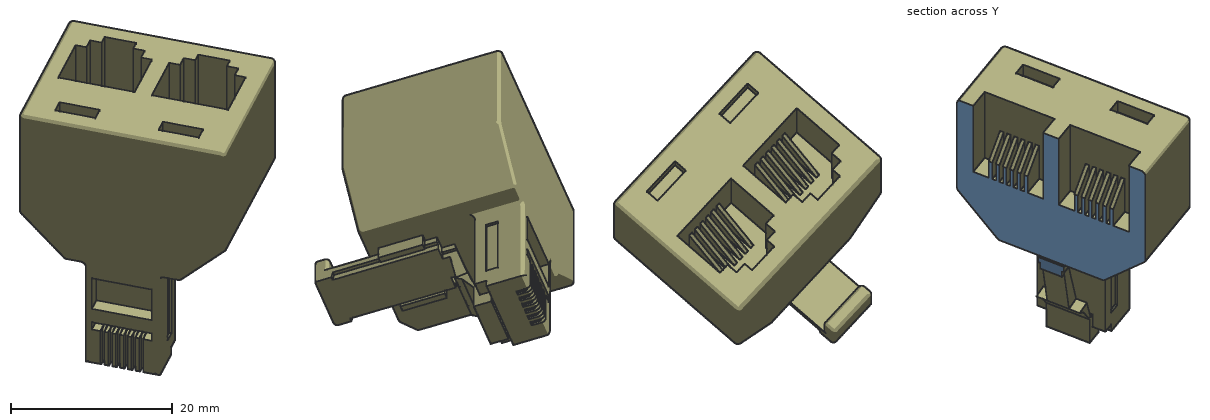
import cadquery as cq


HEIGHT = 37.25
WIDTH = 26.78
DEPTH = 21.05
BOTTOM_Z = 16.1
BEVEL = 5.92
EDGE_RADIUS = 0.65

PLUG_WIDTH = 9.7
PLUG_DEPTH = 6.55
PLUG_BOTTOM_Z = 0.93
NECK_RADIUS = 0.55
FOOT_NOTCH_TOP_Z = 2.05
FOOT_NOTCH_Y = 5.03

WINDOW_WIDTH = 7.75
WINDOW_BOTTOM_Z = 9.5
WINDOW_HEIGHT = 4.7
POCKET_DEPTH = 1.85
GROOVE_BOTTOM_Z = 6.33
GROOVE_HEIGHT = 1.1
CONTACT_COUNT = 6
CONTACT_PITCH = 1.0
SLOT_WIDTH = 0.52
BLADE_WIDTH = 0.37
BLADE_FRONT_Y = 0.55
BLADE_BOTTOM_Z = 1.23
BLADE_RADIUS = 0.37

SIDE_RECESS_DEPTH = 0.3
SIDE_RECESS_FRONT_Y = 3.55
SIDE_RECESS_WIDTH = 1.55
SIDE_RECESS_BOTTOM_Z = 4.15
SIDE_RECESS_HEIGHT = 9.55

SOCKET_X = 6.07
SOCKET_DEPTH = 11.17
SOCKET_FRONT_Y = 8.8
SOCKET_STEPS = [(9.9, 15.85), (7.08, 17.35), (4.1, 18.6)]
SPRING_BACK_Y = 14.5
SPRING_RISE = 5.6

TOP_SLOT_X = 6.7
TOP_SLOT_WIDTH = 5.2
TOP_SLOT_FRONT_Y = 2.15
TOP_SLOT_LENGTH = 1.8
TOP_SLOT_DEPTH = 1.85

POST_THICKNESS = 0.75
POST_FRONT_Y = 13.6
POST_LENGTH = 5.85
POST_BOTTOM_Z = 14.08

ARM_WIDTH = 7.22
ARM_TOP_Z = 15.85
ARM_STEP_Z = 14.9
ARM_BOTTOM_Z = 13.95
ARM_FRONT_Y = 12.0
RIB_WIDTH = 6.33
RIB_BACK_TOP_Y = 25.7
RIB_BACK_BOTTOM_Y = 25.9
LATCH_BACK_Y = 28.2
TIP_THICKNESS = 1.97
TIP_TOP_Z = 18.47
TIP_RADIUS = 0.55
NOSE_WIDTH = 3.72
LEG_WIDTH = 3.1
CATCH_WIDTH = 6.15
FOOT_BACK_Y = 7.37
FOOT_TOP_Z = 4.17
HINGE_DROP = 0.2

LEG_TOP_FRONT = (10.3, ARM_TOP_Z)
NOSE_BOTTOM_FRONT = (10.1, ARM_STEP_Z)
LEG_TOP_BACK = (11.05, ARM_BOTTOM_Z)
SHOULDER_FRONT = (8.08, 7.4)
SHOULDER_BACK = (9.85, 7.1)
CATCH_BEND = (8.9, 6.4)
FOOT_TOP_FRONT = (7.15, FOOT_TOP_Z)

SELECT_MARGIN = 0.05

contact_offsets = [(i - (CONTACT_COUNT - 1) / 2) * CONTACT_PITCH for i in range(CONTACT_COUNT)]


def box(width, y_range, z_range, x_center=0.0):
    """Box centred on x_center, between two Y values and two Z values."""
    return (
        cq.Workplane()
        .box(width, y_range[1] - y_range[0], z_range[1] - z_range[0], centered=(True, False, False))
        .translate((x_center, y_range[0], z_range[0]))
    )


def side_plate(points, width, x_center=0.0):
    """Outline of (Y, Z) points made into a plate of the given width along X."""
    return (
        cq.Workplane("YZ").polyline(points).close().extrude(width / 2, both=True).translate((x_center, 0, 0))
    )


def edges_within(width, depth, bottom_z, top_z):
    """Selector for the edges centred inside a box standing on the front face plane."""
    return cq.selectors.BoxSelector(
        (-width / 2 - SELECT_MARGIN, -SELECT_MARGIN, bottom_z - SELECT_MARGIN),
        (width / 2 + SELECT_MARGIN, depth + SELECT_MARGIN, top_z + SELECT_MARGIN),
    )


def make_shell():
    """Bevelled block with the plug below it, its outer edges rounded."""
    half = WIDTH / 2
    outline = [
        (-half, HEIGHT),
        (half, HEIGHT),
        (half, BOTTOM_Z + BEVEL),
        (half - BEVEL, BOTTOM_Z),
        (-half + BEVEL, BOTTOM_Z),
        (-half, BOTTOM_Z + BEVEL),
    ]
    block = cq.Workplane("XZ").polyline(outline).close().extrude(-DEPTH)
    bevel_edges = edges_within(WIDTH, DEPTH, BOTTOM_Z, BOTTOM_Z + BEVEL)
    block = block.edges("|Y").edges(bevel_edges).fillet(EDGE_RADIUS)
    plug = box(PLUG_WIDTH, (0, PLUG_DEPTH), (PLUG_BOTTOM_Z, BOTTOM_Z))
    shell = block.union(plug)
    neck_corner = edges_within(PLUG_WIDTH, PLUG_DEPTH, BOTTOM_Z, BOTTOM_Z)
    shell = shell.edges(neck_corner).fillet(NECK_RADIUS)
    front = shell.faces("<Y").edges()
    back = shell.faces(">Y").edges()
    top = shell.faces(">Z").edges("|Y")
    return shell.newObject(front.vals() + back.vals() + top.vals()).fillet(EDGE_RADIUS)


def make_socket(x_center):
    """Stepped socket cavity, leaving six sloping contact springs on its front wall."""
    floor_z = HEIGHT - SOCKET_DEPTH
    cavity = cq.Workplane()
    for width, back_y in SOCKET_STEPS:
        cavity = cavity.union(box(width, (SOCKET_FRONT_Y, back_y), (floor_z, HEIGHT), x_center))
    spring_outline = [
        (SOCKET_FRONT_Y, floor_z),
        (SPRING_BACK_Y, floor_z),
        (SOCKET_FRONT_Y, floor_z + SPRING_RISE),
    ]
    for offset in contact_offsets:
        cavity = cavity.cut(side_plate(spring_outline, SLOT_WIDTH, x_center + offset))
    return cavity


def make_plug_cavities():
    """Window, cross groove, contact slots, side recesses and the notch for the latch foot."""
    window = box(WINDOW_WIDTH, (0, POCKET_DEPTH), (WINDOW_BOTTOM_Z, WINDOW_BOTTOM_Z + WINDOW_HEIGHT))
    groove = box(WINDOW_WIDTH, (0, POCKET_DEPTH), (GROOVE_BOTTOM_Z, GROOVE_BOTTOM_Z + GROOVE_HEIGHT))
    notch = box(PLUG_WIDTH, (FOOT_NOTCH_Y, PLUG_DEPTH), (PLUG_BOTTOM_Z, FOOT_NOTCH_TOP_Z))
    cavities = window.union(groove).union(notch)
    for offset in contact_offsets:
        slot = box(SLOT_WIDTH, (0, POCKET_DEPTH), (PLUG_BOTTOM_Z, GROOVE_BOTTOM_Z), offset)
        cavities = cavities.union(slot)
    recess_y = (SIDE_RECESS_FRONT_Y, SIDE_RECESS_FRONT_Y + SIDE_RECESS_WIDTH)
    recess_z = (SIDE_RECESS_BOTTOM_Z, SIDE_RECESS_BOTTOM_Z + SIDE_RECESS_HEIGHT)
    for side in (-1, 1):
        recess_x = side * (PLUG_WIDTH - SIDE_RECESS_DEPTH) / 2
        cavities = cavities.union(box(SIDE_RECESS_DEPTH, recess_y, recess_z, recess_x))
    return cavities


def make_blade(x_center):
    """Contact blade standing on the floor of a slot, with rounded front corners."""
    blade = box(BLADE_WIDTH, (BLADE_FRONT_Y, POCKET_DEPTH), (BLADE_BOTTOM_Z, GROOVE_BOTTOM_Z), x_center)
    return blade.faces("<Y").edges("|X").fillet(BLADE_RADIUS)


def make_housing():
    """Shell with all its cavities, the contact blades and the guide posts."""
    housing = make_shell().cut(make_plug_cavities())
    for offset in contact_offsets:
        housing = housing.union(make_blade(offset))
    post_x = (ARM_WIDTH + POST_THICKNESS) / 2
    slot_y = (TOP_SLOT_FRONT_Y, TOP_SLOT_FRONT_Y + TOP_SLOT_LENGTH)
    post_y = (POST_FRONT_Y, POST_FRONT_Y + POST_LENGTH)
    for side in (-1, 1):
        housing = housing.cut(make_socket(side * SOCKET_X))
        top_slot = box(TOP_SLOT_WIDTH, slot_y, (HEIGHT - TOP_SLOT_DEPTH, HEIGHT), side * TOP_SLOT_X)
        housing = housing.cut(top_slot)
        housing = housing.union(box(POST_THICKNESS, post_y, (POST_BOTTOM_Z, BOTTOM_Z), side * post_x))
    return housing


def make_latch():
    """Thumb lever, bent leg, catch shoulders and foot in one piece."""
    tip_front_y = LATCH_BACK_Y - TIP_THICKNESS
    tip = box(ARM_WIDTH, (tip_front_y, LATCH_BACK_Y), (ARM_BOTTOM_Z, TIP_TOP_Z))
    tip_edges = tip.edges("|Z").vals() + tip.faces(">Z").edges().vals() + tip.faces(">Y").edges("<Z").vals()
    tip = tip.newObject(tip_edges).fillet(TIP_RADIUS)
    tip_base_outline = [
        (RIB_BACK_TOP_Y, ARM_TOP_Z),
        (RIB_BACK_TOP_Y, ARM_STEP_Z),
        (RIB_BACK_BOTTOM_Y, ARM_BOTTOM_Z),
        (LATCH_BACK_Y - TIP_RADIUS, ARM_BOTTOM_Z),
        (LATCH_BACK_Y - TIP_RADIUS, ARM_TOP_Z),
    ]
    tip_base = side_plate(tip_base_outline, ARM_WIDTH)
    plate = box(ARM_WIDTH, (ARM_FRONT_Y, tip_front_y), (ARM_STEP_Z, ARM_TOP_Z))
    rib = box(RIB_WIDTH, (ARM_FRONT_Y, tip_front_y), (ARM_BOTTOM_Z, ARM_STEP_Z))
    nose_outline = [
        LEG_TOP_FRONT,
        NOSE_BOTTOM_FRONT,
        (ARM_FRONT_Y, ARM_STEP_Z),
        (ARM_FRONT_Y, ARM_TOP_Z),
    ]
    nose = side_plate(nose_outline, NOSE_WIDTH)
    leg_outline = [
        NOSE_BOTTOM_FRONT,
        SHOULDER_FRONT,
        SHOULDER_BACK,
        LEG_TOP_BACK,
        (ARM_FRONT_Y, ARM_BOTTOM_Z),
        (ARM_FRONT_Y, ARM_STEP_Z),
    ]
    catch_outline = [
        SHOULDER_BACK,
        SHOULDER_FRONT,
        FOOT_TOP_FRONT,
        (PLUG_DEPTH, FOOT_TOP_Z),
        (PLUG_DEPTH, FOOT_NOTCH_TOP_Z),
        (FOOT_NOTCH_Y, FOOT_NOTCH_TOP_Z),
        (FOOT_NOTCH_Y, 0),
        (FOOT_BACK_Y, 0),
        (FOOT_BACK_Y, FOOT_TOP_Z - HINGE_DROP),
        CATCH_BEND,
    ]
    leg = side_plate(leg_outline, LEG_WIDTH)
    catch = side_plate(catch_outline, CATCH_WIDTH)
    return plate.union(rib).union(nose).union(tip).union(tip_base).union(leg).union(catch)


housing = make_housing()
latch = make_latch()
result = cq.Compound.makeCompound([housing.solids().val(), latch.solids().val()])